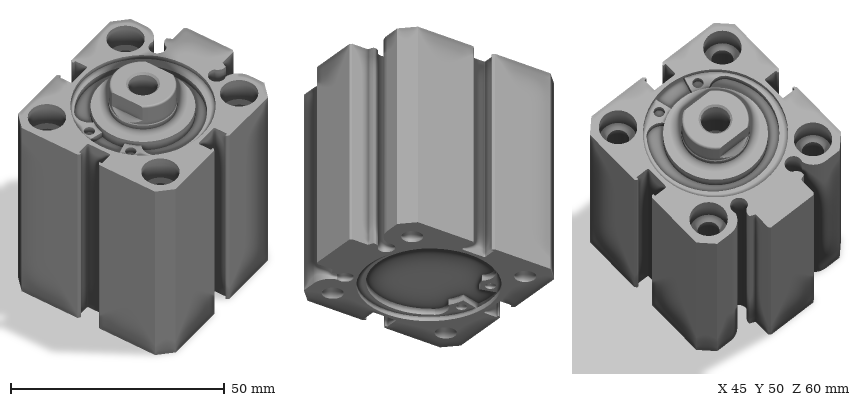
import cadquery as cq
import math


TOTAL_HEIGHT = 60.0
BARREL_HEIGHT = 53.0
BARREL_WIDTH = 45.0
HALF_WIDTH = BARREL_WIDTH / 2
CORNER_CHAMFER = 3.5

RAIL_TOP_Y = 27.5
RAIL_HALF_WIDTH = 7.1
RAIL_CHAMFER = 0.5

SHOULDER_RADIUS = 4.7
SHOULDER_START_X = 14.9
SENSOR_X = 8.45
SENSOR_Y = 18.2
SENSOR_RADIUS = 2.1
SENSOR_INNER_ANGLE = 140
TOOTH_TOP = (8.45, 21.9)
TOOTH_BOTTOM = (8.45, 21.2)
TOOTH_MIDDLE = (8.05, 20.35)

SLOT_FLOOR = 18.05
SLOT_HALF_WIDTH = 3.3
SLOT_MOUTH_HALF_WIDTH = 2.65
SLOT_LIP = 0.85
SLOT_LIP_CHAMFER = 0.5
SLOT_FLOOR_FILLET = 0.3

BOLT_OFFSET = 16.2
BOLT_DIAMETER = 5.2
COUNTERBORE_DIAMETER = 9.0
COUNTERBORE_DEPTH = 6.2

BORE_RADIUS = 17.05
GROOVE_WALL = 0.2
GROOVE_RADIUS = SLOT_FLOOR - GROOVE_WALL
RING_DEPTH = 1.2
RING_THICKNESS = 1.6

RING_INNER_RADIUS = 15.6
RING_INNER_SHIFT = 0.95
LUG_INNER_RADIUS = 12.4
RING_TURN = -0.6
LUG_END_ANGLE = 15.0
LUG_TOE_ANGLE = 33.6
LUG_RELIEF_RADIUS = 3.25
LUG_RELIEF_ANGLE = 53.0
LUG_HOLE_RADIUS = 1.3
LUG_HOLE_DISTANCE = 14.65
LUG_HOLE_ANGLE = 24.0

COVER_THICKNESS = 9.0
COVER_BOSS_RADIUS = 12.3
COVER_BOSS_DEPTH = 0.1

ROD_RADIUS = 8.05
ROD_HEAD_RADIUS = 7.85
ROD_HEAD_BASE = 54.25
ROD_HEAD_FILLET = 0.5
FLAT_HALF_WIDTH = 6.55
FLAT_BOTTOM = 55.5
FLAT_OVERCUT = 0.6
THREAD_RADIUS = 3.5
THREAD_CHAMFER = 0.5
THREAD_DEPTH = 12.0
DRILL_TIP_ANGLE = 118.0

SHOULDER_TOP = BARREL_HEIGHT - RING_DEPTH - RING_THICKNESS
END_COVER_TOP = RING_DEPTH + RING_THICKNESS + COVER_THICKNESS


def polar(radius, degrees, center=(0.0, 0.0)):
    """Point at a radius and an angle from +X around a center."""
    angle = math.radians(degrees)
    return (center[0] + radius * math.cos(angle), center[1] + radius * math.sin(angle))


def mirror_x(point):
    return (-point[0], point[1])


def disc(radius, bottom, top):
    return cq.Workplane("XY").workplane(offset=bottom).circle(radius).extrude(top - bottom)


def rail_block():
    """Extension of the barrel on +Y, with two chamfered outer edges."""
    block = cq.Workplane("XY").box(
        2 * RAIL_HALF_WIDTH, RAIL_TOP_Y, BARREL_HEIGHT, centered=(True, False, False)
    )
    return block.faces(">Y").edges("|Z").chamfer(RAIL_CHAMFER)


def bearing(start, end):
    """Angle in degrees from +X of the direction from one point to another."""
    return math.degrees(math.atan2(end[1] - start[1], end[0] - start[0]))


def rail_groove(side):
    """Cutter for the groove beside the rail; side is +1 for +X and -1 for -X."""
    center = (SENSOR_X, SENSOR_Y)
    round_start = polar(SENSOR_RADIUS, SENSOR_INNER_ANGLE, center)
    round_bottom = polar(SENSOR_RADIUS, -90, center)

    shoulder_center = (SHOULDER_START_X, HALF_WIDTH - SHOULDER_RADIUS)
    distance = math.dist(center, shoulder_center)
    chord_distance = (SENSOR_RADIUS**2 - SHOULDER_RADIUS**2 + distance**2) / (2 * distance)
    half_angle = math.degrees(math.acos(chord_distance / SENSOR_RADIUS))
    cusp = polar(SENSOR_RADIUS, bearing(center, shoulder_center) + half_angle, center)

    shoulder_start = (SHOULDER_START_X, HALF_WIDTH)
    shoulder_middle_angle = (bearing(shoulder_center, cusp) + 90) / 2
    shoulder_middle = polar(SHOULDER_RADIUS, shoulder_middle_angle, shoulder_center)
    profile = (
        cq.Workplane("XY")
        .moveTo(RAIL_HALF_WIDTH, HALF_WIDTH)
        .lineTo(*TOOTH_TOP)
        .lineTo(*TOOTH_BOTTOM)
        .threePointArc(TOOTH_MIDDLE, round_start)
        .threePointArc(round_bottom, cusp)
        .threePointArc(shoulder_middle, shoulder_start)
        .close()
    )
    groove = profile.extrude(BARREL_HEIGHT)
    return groove if side > 0 else groove.mirror("YZ")


def t_slot(turn):
    """Cutter for a T-slot in the +X side, turned around Z."""
    lip_inside = HALF_WIDTH - SLOT_LIP
    lip_chamfer_x = HALF_WIDTH - SLOT_LIP_CHAMFER
    channel = (
        cq.Workplane("XY")
        .moveTo(SLOT_FLOOR, -SLOT_HALF_WIDTH)
        .lineTo(lip_inside, -SLOT_HALF_WIDTH)
        .lineTo(lip_inside, SLOT_HALF_WIDTH)
        .lineTo(SLOT_FLOOR, SLOT_HALF_WIDTH)
        .close()
        .extrude(BARREL_HEIGHT)
        .edges("|Z and <X")
        .fillet(SLOT_FLOOR_FILLET)
    )
    mouth_wide = SLOT_MOUTH_HALF_WIDTH + SLOT_LIP_CHAMFER
    mouth = (
        cq.Workplane("XY")
        .moveTo(lip_inside, -SLOT_MOUTH_HALF_WIDTH)
        .lineTo(lip_chamfer_x, -SLOT_MOUTH_HALF_WIDTH)
        .lineTo(HALF_WIDTH, -mouth_wide)
        .lineTo(HALF_WIDTH, mouth_wide)
        .lineTo(lip_chamfer_x, SLOT_MOUTH_HALF_WIDTH)
        .lineTo(lip_inside, SLOT_MOUTH_HALF_WIDTH)
        .close()
        .extrude(BARREL_HEIGHT)
    )
    return channel.union(mouth).rotate((0, 0, 0), (0, 0, 1), turn)


def make_barrel():
    barrel = (
        cq.Workplane("XY")
        .box(BARREL_WIDTH, BARREL_WIDTH, BARREL_HEIGHT, centered=(True, True, False))
        .edges("|Z")
        .chamfer(CORNER_CHAMFER)
        .union(rail_block())
    )
    for side in (1, -1):
        barrel = barrel.cut(rail_groove(side))
    for turn in (0, 180, 270):
        barrel = barrel.cut(t_slot(turn))
    barrel = (
        barrel.faces(">Z")
        .workplane(origin=(0, 0, BARREL_HEIGHT))
        .rect(2 * BOLT_OFFSET, 2 * BOLT_OFFSET, forConstruction=True)
        .vertices()
        .cboreHole(BOLT_DIAMETER, COUNTERBORE_DIAMETER, COUNTERBORE_DEPTH)
    )
    barrel = barrel.cut(disc(BORE_RADIUS, 0, BARREL_HEIGHT))
    for bottom in (RING_DEPTH, SHOULDER_TOP):
        barrel = barrel.cut(disc(GROOVE_RADIUS, bottom, bottom + RING_THICKNESS))
    return barrel


def make_snap_ring(bottom):
    """Open ring with an off-center inside and two lugs around the gap on the -Y side."""
    inner_center = (0, -RING_INNER_SHIFT)
    relief_angle = LUG_RELIEF_ANGLE - 90
    relief_center = polar(RING_INNER_RADIUS - LUG_RELIEF_RADIUS, relief_angle, inner_center)

    outer_end = polar(GROOVE_RADIUS, LUG_END_ANGLE - 90)
    lug_end = polar(LUG_INNER_RADIUS, LUG_END_ANGLE - 90)
    lug_middle = polar(LUG_INNER_RADIUS, (LUG_END_ANGLE + LUG_TOE_ANGLE) / 2 - 90)
    lug_toe = polar(LUG_INNER_RADIUS, LUG_TOE_ANGLE - 90)
    relief_bottom = polar(LUG_RELIEF_RADIUS, -90, relief_center)
    relief_end = polar(RING_INNER_RADIUS, relief_angle, inner_center)
    inner_top = polar(RING_INNER_RADIUS, 90, inner_center)

    ring = (
        cq.Workplane("XY")
        .workplane(offset=bottom)
        .moveTo(*outer_end)
        .lineTo(*lug_end)
        .threePointArc(lug_middle, lug_toe)
        .threePointArc(relief_bottom, relief_end)
        .threePointArc(inner_top, mirror_x(relief_end))
        .threePointArc(mirror_x(relief_bottom), mirror_x(lug_toe))
        .threePointArc(mirror_x(lug_middle), mirror_x(lug_end))
        .lineTo(*mirror_x(outer_end))
        .threePointArc((0, GROOVE_RADIUS), outer_end)
        .close()
        .extrude(RING_THICKNESS)
    )
    hole = polar(LUG_HOLE_DISTANCE, LUG_HOLE_ANGLE - 90)
    holes = (
        cq.Workplane("XY")
        .workplane(offset=bottom)
        .pushPoints([hole, mirror_x(hole)])
        .circle(LUG_HOLE_RADIUS)
        .extrude(RING_THICKNESS)
    )
    return ring.cut(holes).rotate((0, 0, 0), (0, 0, 1), RING_TURN)


def make_head_cover():
    """Disc below the upper snap ring, with a boss inside the ring and a hole for the rod."""
    cover_bottom = SHOULDER_TOP - COVER_THICKNESS
    boss_top = BARREL_HEIGHT - COVER_BOSS_DEPTH
    cover = disc(BORE_RADIUS, cover_bottom, SHOULDER_TOP)
    boss = disc(COVER_BOSS_RADIUS, SHOULDER_TOP, boss_top)
    return cover.union(boss).cut(disc(ROD_RADIUS, cover_bottom, boss_top))


def make_end_cover():
    """Plain disc above the lower snap ring."""
    return disc(BORE_RADIUS, END_COVER_TOP - COVER_THICKNESS, END_COVER_TOP)


def wrench_flat():
    """Cutter for the flat on the -Y side of the rod head, with a 45 degree run-out."""
    beyond = ROD_RADIUS + FLAT_OVERCUT
    profile = (
        cq.Workplane("YZ")
        .moveTo(-FLAT_HALF_WIDTH, TOTAL_HEIGHT)
        .lineTo(-FLAT_HALF_WIDTH, FLAT_BOTTOM)
        .lineTo(-beyond, FLAT_BOTTOM - (beyond - FLAT_HALF_WIDTH))
        .lineTo(-beyond, TOTAL_HEIGHT)
        .close()
    )
    return profile.extrude(ROD_RADIUS, both=True)


def threaded_hole():
    """Cutter for the blind hole in the rod end: countersink, bore and drill tip."""
    hole_bottom = TOTAL_HEIGHT - THREAD_DEPTH
    tip_length = THREAD_RADIUS / math.tan(math.radians(DRILL_TIP_ANGLE / 2))
    profile = (
        cq.Workplane("XZ")
        .moveTo(0, TOTAL_HEIGHT)
        .lineTo(THREAD_RADIUS + THREAD_CHAMFER, TOTAL_HEIGHT)
        .lineTo(THREAD_RADIUS, TOTAL_HEIGHT - THREAD_CHAMFER)
        .lineTo(THREAD_RADIUS, hole_bottom)
        .lineTo(0, hole_bottom - tip_length)
        .close()
    )
    return profile.revolve(360, (0, 0, 0), (0, 1, 0))


def make_rod():
    """Rod from the end cover up, with a slightly thinner head that carries two flats."""
    shaft = disc(ROD_RADIUS, END_COVER_TOP, ROD_HEAD_BASE)
    shaft = shaft.faces(">Z").edges().chamfer(ROD_RADIUS - ROD_HEAD_RADIUS)
    head = disc(ROD_HEAD_RADIUS, ROD_HEAD_BASE, TOTAL_HEIGHT)
    head = head.faces(">Z").edges().fillet(ROD_HEAD_FILLET)
    rod = shaft.union(head)
    flat = wrench_flat()
    return rod.cut(flat).cut(flat.mirror("XZ")).cut(threaded_hole())


barrel = make_barrel()
rod = make_rod()
head_cover = make_head_cover()
end_cover = make_end_cover()
snap_rings = [make_snap_ring(bottom) for bottom in (RING_DEPTH, SHOULDER_TOP)]

result = cq.Compound.makeCompound(
    [
        barrel.val(),
        rod.val(),
        head_cover.val(),
        end_cover.val(),
        *[ring.val() for ring in snap_rings],
    ]
)